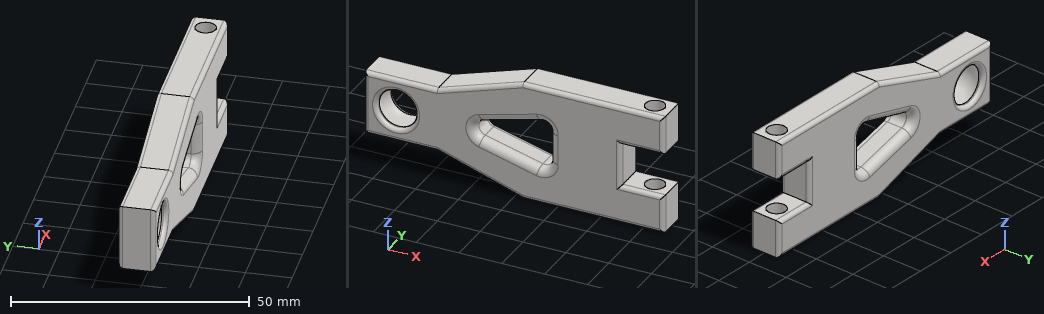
import cadquery as cq
import math

length = 70.0
thickness = 8.0
height = 28.0
edge_round = 1.0

neck_height = 15.0
neck_end_x = 17.0
body_start_x = 37.0

slot_depth = 10.0
slot_width = 10.0

neck_hole_diameter = 9.0
neck_hole_x = neck_height / 2

ball_seat_diameter = 10.5

pin_hole_diameter = 4.5
pin_hole_x = length - 4.0

window_corner_radius = 2.0
window_tip_x = 27.85
window_base_x = 41.3
window_base_half_height = 3.5
window_round = 2.0


def extrude_through(sketch):
    """Extrude an XZ sketch symmetrically over the plate thickness."""
    return sketch.extrude(thickness / 2, both=True)


def forked_plate():
    half_height = height / 2
    half_neck = neck_height / 2
    half_slot = slot_width / 2
    slot_floor_x = length - slot_depth
    upper = [
        (0, half_neck),
        (neck_end_x, half_neck),
        (body_start_x, half_height),
        (length, half_height),
        (length, half_slot),
        (slot_floor_x, half_slot),
    ]
    lower = [(x, -z) for x, z in reversed(upper)]
    outline = cq.Workplane("XZ").polyline(upper + lower).close()
    plate = extrude_through(outline)
    return plate.faces("<Y or >Y").edges().fillet(edge_round)


def cut_rounded_opening(plate, cutter, mouth_round):
    """Cut an opening through the plate and round its mouth on both faces."""
    opened = plate.cut(cutter)
    bounds = cutter.val().BoundingBox()
    margin = 0.1
    around_opening = cq.selectors.BoxSelector(
        (bounds.xmin - margin, bounds.ymin - margin, bounds.zmin - margin),
        (bounds.xmax + margin, bounds.ymax + margin, bounds.zmax + margin),
        boundingbox=True,
    )
    mouths = opened.faces("<Y or >Y").edges(around_opening)
    return mouths.fillet(mouth_round)


def neck_hole():
    circle = cq.Workplane("XZ").center(neck_hole_x, 0).circle(neck_hole_diameter / 2)
    return extrude_through(circle)


def ball_seat():
    """Spherical band about the neck hole axis, ending where the ball meets the hole wall."""
    ball_radius = ball_seat_diameter / 2
    hole_radius = neck_hole_diameter / 2
    half_width = math.sqrt(ball_radius**2 - hole_radius**2)
    profile = (
        cq.Workplane("XY", origin=(neck_hole_x, 0, 0))
        .moveTo(0, -half_width)
        .lineTo(hole_radius, -half_width)
        .threePointArc((ball_radius, 0), (hole_radius, half_width))
        .lineTo(0, half_width)
        .close()
    )
    return profile.revolve(360, (0, 0), (0, 1))


def window():
    corner_centres = [
        (window_tip_x, 0),
        (window_base_x, window_base_half_height),
        (window_base_x, -window_base_half_height),
    ]
    triangle = cq.Workplane("XZ").polyline(corner_centres).close()
    return extrude_through(triangle.offset2D(window_corner_radius))


def pin_hole():
    circle = cq.Workplane("XY").center(pin_hole_x, 0).circle(pin_hole_diameter / 2)
    return circle.extrude(height / 2, both=True)


result = forked_plate()
result = cut_rounded_opening(result, neck_hole(), edge_round)
result = result.cut(ball_seat())
result = cut_rounded_opening(result, window(), window_round)
result = result.cut(pin_hole())